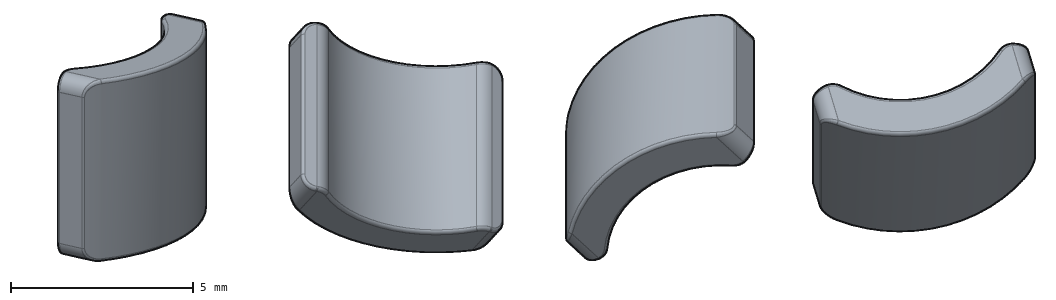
import cadquery as cq
import math

OUTER_RADIUS = 4.3
INNER_RADIUS = 3.15
DEPTH = 2.22
WIDTH = 6.12
HEIGHT = 5.34
LIP_RADIUS = 0.45
TIP_SLANT = 12
CORNER_RADIUS = 0.45
EDGE_RADIUS = 0.1

TOLERANCE = 1e-4

half_width = WIDTH / 2
lip_x = OUTER_RADIUS - DEPTH

lip_center_x = lip_x + LIP_RADIUS
lip_center_y = math.sqrt((INNER_RADIUS + LIP_RADIUS) ** 2 - lip_center_x ** 2)
wall_end_angle = math.atan2(lip_center_y, lip_center_x)
slant_angle = math.radians(TIP_SLANT)


def wall_point(radius, angle):
    return (radius * math.cos(angle), radius * math.sin(angle))


def mirrored(point):
    return (point[0], -point[1])


def lip_round_point(angle):
    """Point on the lip round, at an angle measured from -X towards -Y."""
    return (
        lip_center_x - LIP_RADIUS * math.cos(angle),
        lip_center_y - LIP_RADIUS * math.sin(angle),
    )


def make_blank():
    """Curved wall with lips and flat tips, centred on the XY plane."""
    wall_end = wall_point(INNER_RADIUS, wall_end_angle)
    lip_crest = lip_round_point(0)
    slant_start = lip_round_point(-slant_angle)
    slant_run = (half_width - slant_start[1]) * math.tan(slant_angle)
    tip_inner = (slant_start[0] + slant_run, half_width)
    tip_outer = wall_point(OUTER_RADIUS, math.asin(half_width / OUTER_RADIUS))

    return (
        cq.Workplane("XY")
        .workplane(offset=-HEIGHT / 2)
        .moveTo(*mirrored(wall_end))
        .threePointArc((INNER_RADIUS, 0), wall_end)
        .threePointArc(lip_crest, slant_start)
        .lineTo(*tip_inner)
        .lineTo(*tip_outer)
        .threePointArc((OUTER_RADIUS, 0), mirrored(tip_outer))
        .lineTo(*mirrored(tip_inner))
        .lineTo(*mirrored(slant_start))
        .threePointArc(mirrored(lip_crest), mirrored(wall_end))
        .close()
        .extrude(HEIGHT)
    )


def round_corners(body):
    return body.edges("|X").fillet(CORNER_RADIUS)


def is_perimeter_edge(edge):
    """True for the edges that run around the inner and outer sides."""
    box = edge.BoundingBox()
    along_x = box.ylen < TOLERANCE and box.zlen < TOLERANCE
    along_z = box.xlen < TOLERANCE and box.ylen < TOLERANCE
    on_tip = abs(edge.Center().y) > half_width - TOLERANCE
    return not along_x and (on_tip or not along_z)


def round_perimeter(body):
    perimeter = [edge for edge in body.edges().vals() if is_perimeter_edge(edge)]
    return body.newObject(perimeter).fillet(EDGE_RADIUS)


result = round_perimeter(round_corners(make_blank()))